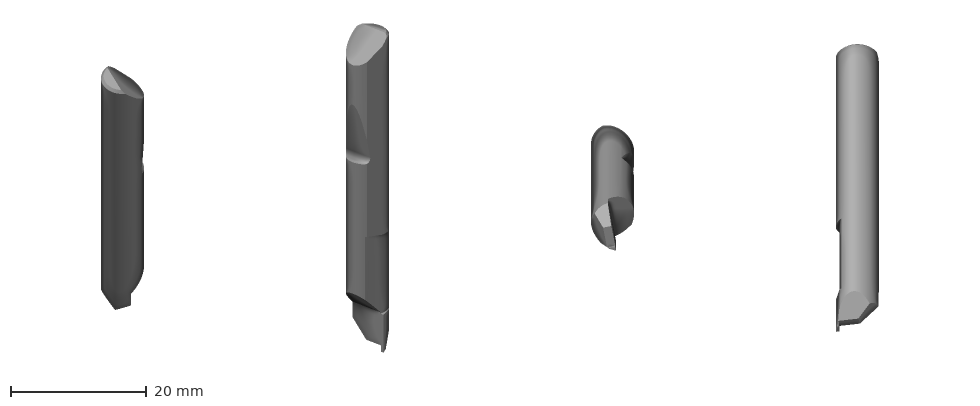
import cadquery as cq
import math

diameter = 6.35
radius = diameter / 2
length = 50.8
top_chamfer = 0.4
margin = 2.55
reach = radius + margin

top_edge_y = -1.3
flat_front_y = 0.15
flat_back_y = 2.35

notch_floor_z = 30.7
notch_top_z = 39.95
notch_angle = 9.0
notch_radius = 0.9

relief_bottom_z = 6.1
relief_top_z = 19.05
relief_width = 5.05
relief_half_width = relief_width / 2
relief_apex_x = -2.6

rake_y = -0.1
rake_top_z = 6.3
clearance_edge_y = -2.2
body_end_z = 1.0
nib_inner_x = -2.65
nib_clearance_rise = 0.25
nib_depth = 1.0
heel_top_z = 4.8
heel_angle = 64.0
corner_top_z = 3.8


def circle_x(y):
    """X of the shank's -X side at the given Y."""
    return -math.sqrt(radius**2 - y**2)


def cutter_along_x(points):
    """Prism through the whole shank from a Y-Z outline."""
    return cq.Workplane("YZ").polyline(points).close().extrude(reach, both=True)


def cutter_along_y(points):
    """Prism through the whole shank from an X-Z outline."""
    return cq.Workplane("XZ").polyline(points).close().extrude(reach, both=True)


def make_shank():
    return cq.Workplane("XY").circle(radius).extrude(length).faces(">Z").chamfer(top_chamfer)


def top_bevel():
    run = reach - top_edge_y
    return cutter_along_x([(top_edge_y, length), (reach, length - run), (reach, length)])


def side_flat():
    return (
        cq.Workplane("XY", origin=(0, 0, relief_bottom_z))
        .moveTo(circle_x(flat_front_y), flat_front_y)
        .lineTo(circle_x(flat_back_y), flat_back_y)
        .lineTo(-reach, flat_back_y)
        .lineTo(-reach, flat_front_y)
        .close()
        .extrude(length - relief_bottom_z)
    )


def clamping_notch():
    slope = math.tan(math.radians(notch_angle))
    corner_y = radius - (notch_top_z - notch_floor_z) * slope
    outer_top_z = notch_top_z + margin / slope
    notch = cutter_along_x([(corner_y, notch_floor_z), (reach, notch_floor_z), (reach, outer_top_z)])
    return notch.edges("|X and <Y").fillet(notch_radius)


def side_relief():
    edge_x = circle_x(relief_half_width)
    return (
        cq.Workplane("XY", origin=(0, 0, relief_bottom_z))
        .moveTo(edge_x, -relief_half_width)
        .threePointArc((relief_apex_x, 0), (edge_x, relief_half_width))
        .lineTo(-reach, relief_half_width)
        .lineTo(-reach, -relief_half_width)
        .close()
        .extrude(relief_top_z - relief_bottom_z)
    )


def rake_face():
    return cutter_along_x([(rake_y, 0), (rake_y, rake_top_z), (reach, rake_top_z + reach - rake_y), (reach, 0)])


def side_clearance():
    return (
        cq.Workplane("XY")
        .moveTo(circle_x(rake_y), rake_y)
        .lineTo(circle_x(clearance_edge_y), clearance_edge_y)
        .lineTo(-reach, clearance_edge_y)
        .lineTo(-reach, rake_y)
        .close()
        .extrude(relief_bottom_z)
    )


def heel():
    drop = (heel_top_z + margin) / math.tan(math.radians(heel_angle))
    rise = margin * math.tan(math.radians(heel_angle))
    return cutter_along_x([(-radius + drop, -margin), (-reach, heel_top_z + rise), (-reach, -margin)])


def tip_end():
    """Clears the end beside the nib and bevels the +X corner."""
    bevel_start_x = radius - (corner_top_z - body_end_z)
    return cutter_along_y([
        (nib_inner_x, 0),
        (nib_inner_x, body_end_z),
        (bevel_start_x, body_end_z),
        (reach, corner_top_z + margin),
        (reach, 0),
    ])


def nib_end_clearance():
    return cutter_along_x([(rake_y, 0), (-nib_depth, nib_clearance_rise), (-nib_depth, 0)])


result = make_shank()
for cutter in (
    top_bevel(),
    side_flat(),
    clamping_notch(),
    side_relief(),
    rake_face(),
    side_clearance(),
    heel(),
    tip_end(),
    nib_end_clearance(),
):
    result = result.cut(cutter)